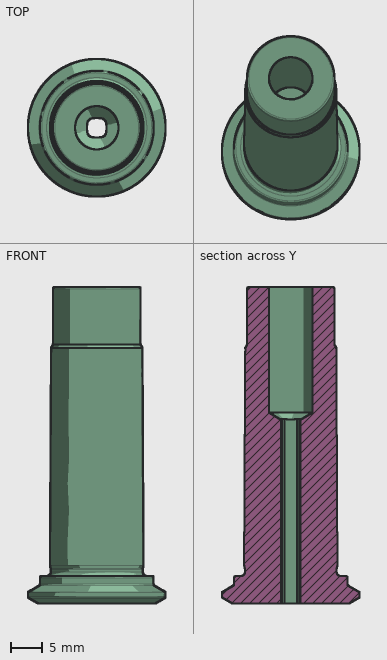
import cadquery as cq
import math

total_height = 50.5
flange_radius = 22.0 / 2
collar_radius = 9.08
neck_radius = 14.7 / 2
spigot_radius = 14.0 / 2

flange_slope = math.radians(30)
flange_base_radius = 9.35
upper_rim_fillet = 0.12
lower_rim_fillet = 0.35

collar_bottom_z = 2.94
collar_top_z = 4.42
collar_fillet = 0.3

neck_fillet = 0.65
neck_top_z = 5.55

barrel_bottom_z = 6.1
barrel_top_z = 40.75
barrel_bottom_radius = 7.483
barrel_top_radius = 7.305

spigot_bottom_z = 41.35
spigot_fillet = 0.3

bore_radius = 6.92 / 2
bore_depth = 20.0
bore_tip_slope = math.radians(31)

hole_side_count = 4
hole_corner_radius = 3.5 / 2
hole_side_reach = 1.54
hole_side_half_angle = math.radians(35)

pick_tolerance = 0.01


def ring_edge(radius, z):
    """Selector for the horizontal circular edges at height z that fit within the radius."""
    reach = radius + pick_tolerance
    return cq.selectors.BoxSelector(
        (-reach, -reach, z - pick_tolerance),
        (reach, reach, z + pick_tolerance),
        boundingbox=True,
    )


def make_body():
    """Turned outer shape, revolved from a half profile in the XZ plane, then rounded."""
    lower_rim_z = (flange_radius - flange_base_radius) * math.tan(flange_slope)
    upper_rim_z = collar_bottom_z - (flange_radius - collar_radius) * math.tan(flange_slope)
    body = (
        cq.Workplane("XZ")
        .lineTo(flange_base_radius, 0)
        .lineTo(flange_radius, lower_rim_z)
        .lineTo(flange_radius, upper_rim_z)
        .lineTo(collar_radius, collar_bottom_z)
        .lineTo(collar_radius, collar_top_z)
        .lineTo(neck_radius, collar_top_z)
        .lineTo(neck_radius, neck_top_z)
        .lineTo(barrel_bottom_radius, barrel_bottom_z)
        .lineTo(barrel_top_radius, barrel_top_z)
        .lineTo(spigot_radius, spigot_bottom_z)
        .lineTo(spigot_radius, total_height)
        .lineTo(0, total_height)
        .close()
        .revolve(360, (0, 0), (0, 1))
    )
    roundings = [
        (flange_radius, lower_rim_z, lower_rim_fillet),
        (flange_radius, upper_rim_z, upper_rim_fillet),
        (collar_radius, collar_bottom_z, collar_fillet),
        (neck_radius, neck_top_z, neck_fillet),
        (spigot_radius, total_height, spigot_fillet),
        (neck_radius, collar_top_z, neck_fillet),
    ]
    for radius, z, fillet in roundings:
        body = body.edges(ring_edge(radius, z)).fillet(fillet)
    collar_top_edges = ring_edge(collar_radius, collar_top_z)
    neck_blend_edges = ring_edge(neck_radius + neck_fillet, collar_top_z)
    return body.edges(collar_top_edges - neck_blend_edges).fillet(collar_fillet)


def make_bore():
    """Round blind bore from the top, ending in a cone."""
    bore_bottom_z = total_height - bore_depth
    tip_z = bore_bottom_z - bore_radius * math.tan(bore_tip_slope)
    return (
        cq.Workplane("XZ")
        .moveTo(0, tip_z)
        .lineTo(bore_radius, bore_bottom_z)
        .lineTo(bore_radius, total_height)
        .lineTo(0, total_height)
        .close()
        .revolve(360, (0, 0), (0, 1))
    )


def on_circle(radius, angle):
    """Point at the given angle on a circle about the origin."""
    return (radius * math.cos(angle), radius * math.sin(angle))


def make_through_hole():
    """Four-sided hole running from the flange face up into the bore."""
    side_turn = 2 * math.pi / hole_side_count
    outline = cq.Workplane("XY").moveTo(*on_circle(hole_corner_radius, -hole_side_half_angle))
    for side in range(hole_side_count):
        middle = side * side_turn
        outline = outline.threePointArc(
            on_circle(hole_side_reach, middle),
            on_circle(hole_corner_radius, middle + hole_side_half_angle),
        ).threePointArc(
            on_circle(hole_corner_radius, middle + side_turn / 2),
            on_circle(hole_corner_radius, middle + side_turn - hole_side_half_angle),
        )
    return outline.close().extrude(total_height)


result = make_body().cut(make_bore()).cut(make_through_hole())